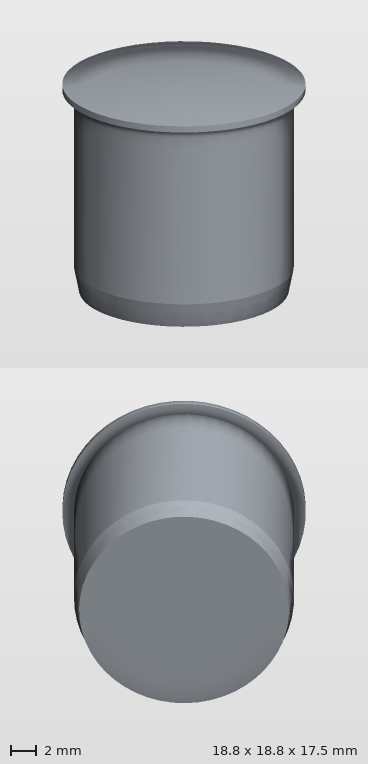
import cadquery as cq

total_height = 17.5
flange_diameter = 18.8
flange_thickness = 0.5
dome_rise = 0.5
body_diameter = 17.0
tip_diameter = 16.2
taper_height = 2.0

flange_radius = flange_diameter / 2
body_radius = body_diameter / 2
tip_radius = tip_diameter / 2
flange_top = total_height - dome_rise
flange_bottom = flange_top - flange_thickness

dome_radius = (flange_radius**2 + dome_rise**2) / (2 * dome_rise)
dome_center_z = total_height - dome_radius
dome_mid_x = flange_radius / 2
dome_mid_z = dome_center_z + (dome_radius**2 - dome_mid_x**2) ** 0.5

half_section = (
    cq.Workplane("XZ")
    .lineTo(tip_radius, 0)
    .lineTo(body_radius, taper_height)
    .lineTo(body_radius, flange_bottom)
    .lineTo(flange_radius, flange_bottom)
    .lineTo(flange_radius, flange_top)
    .threePointArc((dome_mid_x, dome_mid_z), (0, total_height))
    .close()
)

result = half_section.revolve(360, (0, 0, 0), (0, 1, 0))